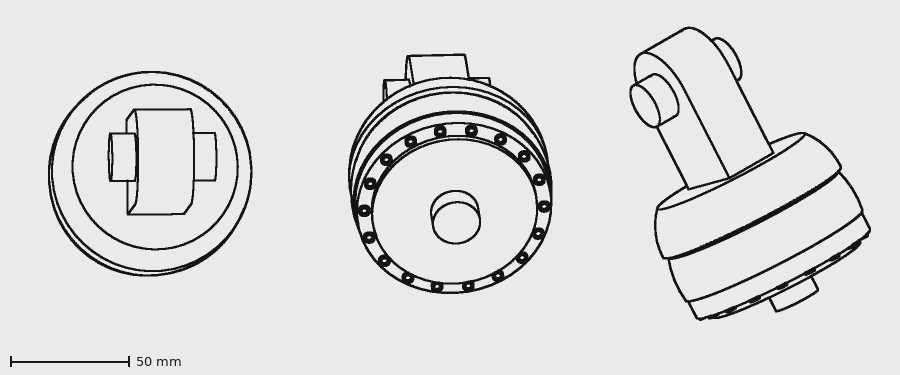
import cadquery as cq

roll_angle = 86.2
tilt_angle = 43.3
heading_angle = -66.8

dome_diameter = 84.5
flat_diameter = 70.0
neck_diameter = 79.0
belly_top_diameter = 80.6
belly_bottom_diameter = 84.1
flange_diameter = 82.5
dome_bulge = 2.1
dome_height = 19.6
neck_height = 1.2
belly_height = 19.5
belly_bulge = 1.2
flange_height = 8.6

cover_diameter = 70.0
cover_height = 3.0
shaft_diameter = 20.0
stub_length = 9.8

bolt_count = 18
bolt_circle_diameter = (flange_diameter + cover_diameter) / 2
bolt_diameter = 4.5
socket_diameter = 3.0
bolt_height = 1.0

bracket_width = 40.2
bracket_thickness = 23.7
eye_height = 42.2
pin_length = 44.1

neck_top = -dome_height
belly_top = neck_top - neck_height
flange_top = belly_top - belly_height
flange_bottom = flange_top - flange_height
cover_bottom = flange_bottom - cover_height


def make_housing():
    """Revolve the domed top, the neck, the bulging belly and the straight flange."""
    dome_radius = dome_diameter / 2
    flat_radius = flat_diameter / 2
    neck_radius = neck_diameter / 2
    belly_top_radius = belly_top_diameter / 2
    belly_bottom_radius = belly_bottom_diameter / 2
    flange_radius = flange_diameter / 2
    dome_middle = ((flat_radius + dome_radius) / 2 + dome_bulge, neck_top / 2)
    belly_middle = ((belly_top_radius + belly_bottom_radius) / 2 + belly_bulge, (belly_top + flange_top) / 2)
    return (
        cq.Workplane("XZ")
        .lineTo(flat_radius, 0)
        .threePointArc(dome_middle, (dome_radius, neck_top))
        .lineTo(neck_radius, neck_top)
        .lineTo(neck_radius, belly_top)
        .lineTo(belly_top_radius, belly_top)
        .threePointArc(belly_middle, (belly_bottom_radius, flange_top))
        .lineTo(flange_radius, flange_top)
        .lineTo(flange_radius, flange_bottom)
        .lineTo(0, flange_bottom)
        .close()
        .revolve(360, (0, 0), (0, 1))
    )


def make_cover():
    """Round cover under the flange, with the stub in its centre."""
    cover = cq.Workplane(origin=(0, 0, flange_bottom)).circle(cover_diameter / 2).extrude(-cover_height)
    stub = cq.Workplane(origin=(0, 0, cover_bottom)).circle(shaft_diameter / 2).extrude(-stub_length)
    return cover.union(stub)


def make_bolts():
    """Hollow bolt heads standing below the flange."""
    return (
        cq.Workplane(origin=(0, 0, flange_bottom))
        .polarArray(bolt_circle_diameter / 2, 0, 360, bolt_count)
        .circle(bolt_diameter / 2)
        .circle(socket_diameter / 2)
        .extrude(-bolt_height)
    )


def make_bracket():
    """Flat bracket with a round end, and the pin through its eye."""
    half_width = bracket_width / 2
    plate = (
        cq.Workplane("YZ")
        .moveTo(-half_width, 0)
        .lineTo(half_width, 0)
        .lineTo(half_width, eye_height)
        .threePointArc((0, eye_height + half_width), (-half_width, eye_height))
        .close()
        .extrude(bracket_thickness / 2, both=True)
    )
    pin = (
        cq.Workplane("YZ")
        .center(0, eye_height)
        .circle(shaft_diameter / 2)
        .extrude(pin_length / 2, both=True)
    )
    return plate.union(pin)


upright = make_housing().union(make_cover()).union(make_bolts()).union(make_bracket())

result = (
    upright.rotate((0, 0, 0), (0, 0, 1), roll_angle)
    .rotate((0, 0, 0), (0, 1, 0), tilt_angle)
    .rotate((0, 0, 0), (0, 0, 1), heading_angle)
)